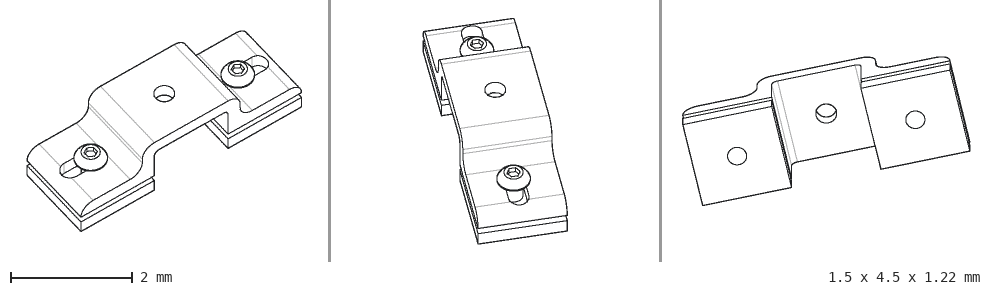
import cadquery as cq
import math

length = 4.5
width = 1.5
height = 1.22

plate_length = 1.5
plate_thickness = 0.248
plate_gap = 0.12

wall = 0.248
flange_thickness = 0.255
bend_radius = 0.248
inner_radius = 0.1
center_hole_diameter = 0.34
slot_width = 0.34
slot_end_margin = 0.16

shank_diameter = 0.315
head_diameter = 0.555
head_height = 0.16
head_rim_height = 0.022
head_flat_diameter = 0.315
dome_bulge = 0.015
hex_across_flats = 0.19
hex_depth = 0.09

end_y = length / 2
inner_y = end_y - plate_length
outer_y = inner_y + wall
screw_y = end_y - plate_length / 2
flange_bottom = plate_thickness + plate_gap
flange_top = flange_bottom + flange_thickness
sides = (-1, 1)


def make_bridge():
    """Hat-shaped strap with rounded bends, two adjustment slots and a center hole."""
    profile = [
        (-end_y, flange_bottom),
        (-end_y, flange_top),
        (-outer_y, flange_top),
        (-outer_y, height),
        (outer_y, height),
        (outer_y, flange_top),
        (end_y, flange_top),
        (end_y, flange_bottom),
        (inner_y, flange_bottom),
        (inner_y, height - wall),
        (-inner_y, height - wall),
        (-inner_y, flange_bottom),
    ]
    body = cq.Workplane("YZ").polyline(profile).close().extrude(width / 2, both=True)

    for side in sides:
        for y, z, radius in (
            (end_y, flange_top, bend_radius),
            (outer_y, flange_top, bend_radius),
            (outer_y, height, bend_radius),
            (inner_y, height - wall, inner_radius),
        ):
            corner = cq.selectors.NearestToPointSelector((0, side * y, z))
            body = body.edges("|X").edges(corner).fillet(radius)

    center_hole = cq.Workplane("XY").circle(center_hole_diameter / 2).extrude(height)
    body = body.cut(center_hole)

    slot_inner_y = screw_y - slot_width / 2
    slot_outer_y = end_y - slot_end_margin
    slot_length = slot_outer_y - slot_inner_y
    slot_center_y = (slot_inner_y + slot_outer_y) / 2
    for side in sides:
        slot = (
            cq.Workplane("XY")
            .center(0, side * slot_center_y)
            .slot2D(slot_length, slot_width, 90)
            .extrude(flange_top)
        )
        body = body.cut(slot)

    for side in sides:
        seat = (
            cq.Workplane("XY")
            .workplane(offset=flange_top)
            .center(0, side * screw_y)
            .circle(head_diameter / 2)
            .extrude(head_height)
        )
        body = body.cut(seat)
    return body


def make_plate(side):
    """Flat clamp plate with a through hole that holds the screw shank."""
    plate = cq.Workplane("XY").box(width, plate_length, plate_thickness, centered=(True, True, False))
    hole = cq.Workplane("XY").circle(shank_diameter / 2).extrude(plate_thickness)
    return plate.cut(hole).translate((0, side * screw_y, 0))


def make_screw(side):
    """Button-head screw with a hexagonal socket, flush with the plate underside."""
    head_radius = head_diameter / 2
    flat_radius = head_flat_diameter / 2
    shank_radius = shank_diameter / 2
    rim_z = flange_top + head_rim_height
    head_top = flange_top + head_height

    chord_run = head_radius - flat_radius
    chord_rise = head_top - rim_z
    chord = math.hypot(chord_run, chord_rise)
    dome_middle = (
        (head_radius + flat_radius) / 2 + dome_bulge * chord_rise / chord,
        (rim_z + head_top) / 2 + dome_bulge * chord_run / chord,
    )
    screw = (
        cq.Workplane("XZ")
        .moveTo(0, 0)
        .lineTo(shank_radius, 0)
        .lineTo(shank_radius, flange_top)
        .lineTo(head_radius, flange_top)
        .lineTo(head_radius, rim_z)
        .threePointArc(dome_middle, (flat_radius, head_top))
        .lineTo(0, head_top)
        .close()
        .revolve(360, (0, 0, 0), (0, 1, 0))
    )
    hex_across_corners = hex_across_flats / math.cos(math.pi / 6)
    socket = (
        cq.Workplane("XY")
        .workplane(offset=head_top - hex_depth)
        .polygon(6, hex_across_corners)
        .extrude(hex_depth)
    )
    return screw.cut(socket).translate((0, side * screw_y, 0))


bridge = make_bridge()
plates = [make_plate(side) for side in sides]
screws = [make_screw(side) for side in sides]

result = cq.Compound.makeCompound(
    [bridge.val()] + [plate.val() for plate in plates] + [screw.val() for screw in screws]
)